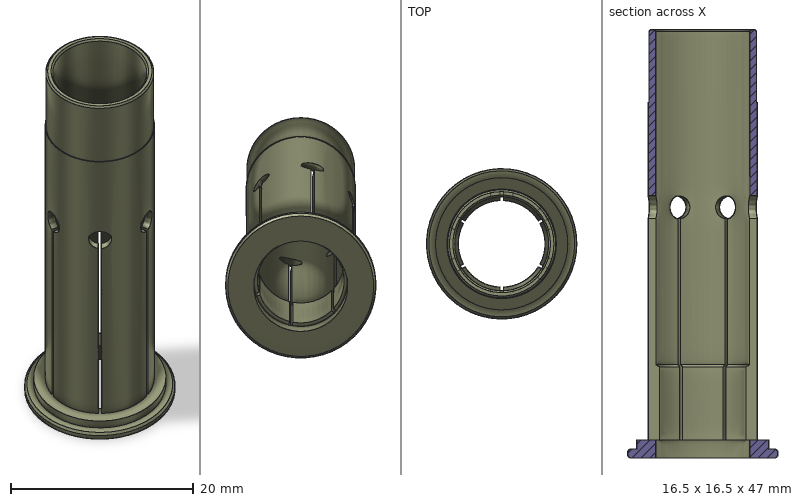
import cadquery as cq

TOTAL_HEIGHT = 47.0
RIM_THICKNESS = 1.0
FLANGE_HEIGHT = 2.0
NECK_LENGTH = 8.0
NECK_BASE = TOTAL_HEIGHT - NECK_LENGTH

RIM_RADIUS = 16.5 / 2
SHOULDER_RADIUS = 14.5 / 2
BODY_RADIUS = 12.0 / 2
NECK_RADIUS = 11.85 / 2

BORE_RADIUS = 10.3 / 2
LAND_RADIUS = 9.5 / 2
LAND_BASE = FLANGE_HEIGHT
LAND_HEIGHT = 8.0
LEAD_IN_HEIGHT = 0.25

RIM_CHAMFER = 0.25
MOUTH_CHAMFER = 0.2

SLOT_COUNT = 6
SLOT_PITCH = 360 / SLOT_COUNT
SLOT_WIDTH = 0.35
RELIEF_DIAMETER = 2.5
RELIEF_HEIGHT = 27.5


def make_sleeve():
    """Revolve the wall section of the unslotted sleeve about Z."""
    land_top = LAND_BASE + LAND_HEIGHT
    return (
        cq.Workplane("XZ")
        .moveTo(BORE_RADIUS, 0)
        .lineTo(RIM_RADIUS - RIM_CHAMFER, 0)
        .lineTo(RIM_RADIUS, RIM_CHAMFER)
        .lineTo(RIM_RADIUS, RIM_THICKNESS - RIM_CHAMFER)
        .lineTo(RIM_RADIUS - RIM_CHAMFER, RIM_THICKNESS)
        .lineTo(SHOULDER_RADIUS, RIM_THICKNESS)
        .lineTo(SHOULDER_RADIUS, FLANGE_HEIGHT)
        .lineTo(BODY_RADIUS, FLANGE_HEIGHT)
        .lineTo(BODY_RADIUS, NECK_BASE)
        .lineTo(NECK_RADIUS, NECK_BASE)
        .lineTo(NECK_RADIUS, TOTAL_HEIGHT - MOUTH_CHAMFER)
        .lineTo(NECK_RADIUS - MOUTH_CHAMFER, TOTAL_HEIGHT)
        .lineTo(BORE_RADIUS + MOUTH_CHAMFER, TOTAL_HEIGHT)
        .lineTo(BORE_RADIUS, TOTAL_HEIGHT - MOUTH_CHAMFER)
        .lineTo(BORE_RADIUS, land_top + LEAD_IN_HEIGHT)
        .lineTo(LAND_RADIUS, land_top)
        .lineTo(LAND_RADIUS, LAND_BASE)
        .lineTo(BORE_RADIUS, LAND_BASE)
        .close()
        .revolve(360, (0, 0, 0), (0, 1, 0))
    )


def make_finger_slot():
    """Cutter for one slot and its relief hole, from the axis out through the -Y wall."""
    slot_length = RELIEF_HEIGHT - FLANGE_HEIGHT
    slot = (
        cq.Workplane("XY", origin=(0, -RIM_RADIUS / 2, FLANGE_HEIGHT))
        .rect(SLOT_WIDTH, RIM_RADIUS)
        .extrude(slot_length)
    )
    relief_hole = (
        cq.Workplane("XZ", origin=(0, 0, RELIEF_HEIGHT))
        .circle(RELIEF_DIAMETER / 2)
        .extrude(RIM_RADIUS)
    )
    return slot.union(relief_hole)


result = make_sleeve()
finger_slot = make_finger_slot()
for index in range(SLOT_COUNT):
    result = result.cut(finger_slot.rotate((0, 0, 0), (0, 0, 1), index * SLOT_PITCH))